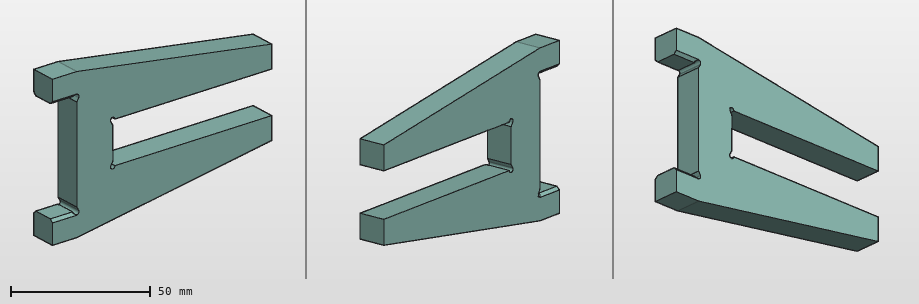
import cadquery as cq
import math

thickness = 11.0
length = 99.4
height = 65.4
tail_height = 38.0

jaw_depth = 11.0
jaw_opening = 45.3
slot_floor = 27.3
slot_width = 18.3

relief_radius = 1.0
relief_angle = 30.0
jaw_chamfer = 1.2


def plate_prism(sketch_points):
    """Extrude a closed YZ outline across the thickness, centred on X = 0."""
    outline = cq.Workplane("YZ").polyline(sketch_points).close()
    return outline.extrude(thickness / 2, both=True)


def opening(y_start, y_end, width):
    """Rectangular opening passing through the thickness."""
    block = cq.Workplane("XY").box(thickness, y_end - y_start, width)
    return block.translate((0, (y_start + y_end) / 2, 0))


def corner_relief(floor_y, corner_z, into_body):
    """Round relief on a corner with one flank tangent to it running out to the floor.

    into_body is the Y direction (+1 or -1) from the opening into the body.
    """
    angle = math.radians(relief_angle)
    inward = -math.copysign(1, corner_z)
    tangent_y = floor_y + into_body * relief_radius * math.cos(angle)
    tangent_z = corner_z + inward * relief_radius * math.sin(angle)
    runout_z = corner_z + inward * relief_radius / math.sin(angle)
    bore = cq.Workplane("YZ").center(floor_y, corner_z).circle(relief_radius)
    flank = plate_prism([(floor_y, corner_z), (tangent_y, tangent_z), (floor_y, runout_z)])
    return bore.extrude(thickness / 2, both=True).union(flank)


def jaw_edge_chamfer(x_side, z_side):
    """Triangular cutter along one gripping edge of a jaw."""
    edge_x = x_side * thickness / 2
    edge_z = z_side * jaw_opening / 2
    wedge = (
        cq.Workplane("XZ")
        .moveTo(edge_x, edge_z)
        .lineTo(edge_x - x_side * jaw_chamfer, edge_z)
        .lineTo(edge_x, edge_z + z_side * jaw_chamfer)
        .close()
    )
    return wedge.extrude(-jaw_depth)


body = plate_prism([
    (0, -height / 2),
    (jaw_depth, -height / 2),
    (length, -tail_height / 2),
    (length, tail_height / 2),
    (jaw_depth, height / 2),
    (0, height / 2),
])
body = body.cut(opening(0, jaw_depth, jaw_opening))
body = body.cut(opening(slot_floor, length, slot_width))

for z_side in (-1, 1):
    body = body.cut(corner_relief(jaw_depth, z_side * jaw_opening / 2, 1))
    body = body.cut(corner_relief(slot_floor, z_side * slot_width / 2, -1))
    for x_side in (-1, 1):
        body = body.cut(jaw_edge_chamfer(x_side, z_side))

result = body